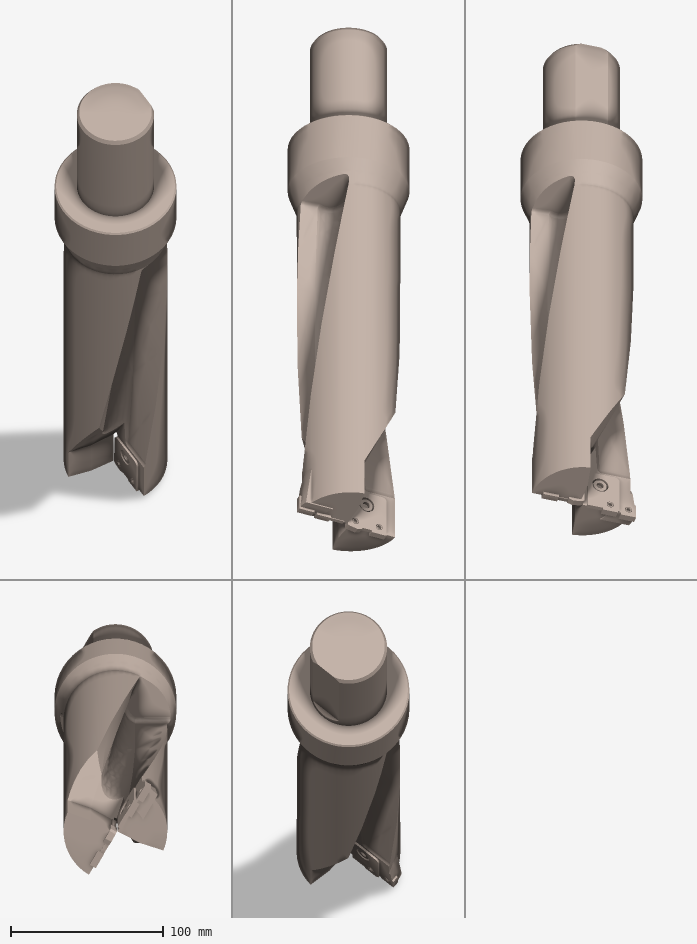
import cadquery as cq
import math

total_height = 381.99
shank_length = 80.0
shank_diameter = 50.79
shank_chamfer_depth = 1.6
shank_chamfer_height = 2.5
collar_diameter = 80.0
collar_chamfer = 1.0
collar_bottom_z = 267.5
neck_bottom_z = 250.5
body_radius = 34.05
collar_top_z = total_height - shank_length
shank_radius = shank_diameter / 2
collar_radius = collar_diameter / 2

flat_y = 22.8
flat_bottom_z = 308.5
flat_ramp = shank_radius - flat_y

end_face_z = 2.2
end_face_slope = 0.067

seat_face_y = 0.8
seat_wall_x = -1.2
seat_wall_outer_x = -4.0
seat_crease_y = -18.0
seat_top_z = 31.0
seat_ramp_angle = 25.0
cutter_reach = 50.0
ramp_height = 95.0
ramp_outer_x = -0.5

flute_twist_per_mm = 0.29
flute_bottom_z = 30.2
flute_twist_start_z = 37.0
flute_end_radius = 6.5
flute_roof_radius = 3.0
flute_roof_z = 249.5
flute_roof_slope = 0.23
flute_floor_edge = (13.0, 2.0)
flute_web_point = (6.0, -7.0)
flute_crease = (11.0, -19.5)
flute_lip_angle = -63.0

plate_proud = 1.4
plate_bottom_z = 1.9
plate_top_z = 30.6
plate_corner_radius = 3.5
plate_wall_gap = 1.0
inner_plate_x = (seat_wall_x + plate_wall_gap, 27.3)
outer_plate_x = (4.0, 26.0)
plate_face_y = seat_face_y - plate_proud

pad_depth = 11.5
pad_bottom_radius = 37.8
pad_inner_x = 20.0
pad_bevel_depth = 5.5
pad_bevel_end_z = 20.0

screw_x = 12.8
screw_z = 21.2
screw_recess_diameter = 11.0
screw_recess_depth = 4.0
screw_head_diameter = 9.0
screw_head_height = 3.5
screw_socket_diameter = 4.8
screw_socket_depth = 2.5

insert_thickness = 4.6
insert_top_z = 11.0
insert_bottom_z = 0.5
insert_hole_diameter = 4.8
insert_screw_diameter = 4.0
insert_socket_diameter = 3.0
insert_socket_depth = 2.0
insert_screw_z = 6.0


def turned(shape, angle):
    return shape.rotate((0, 0, 0), (0, 0, 1), angle)


def turned_pair(shape):
    """The shape and its copy turned half a turn about the drill axis."""
    return [turned(shape, angle) for angle in (0, 180)]


def facing_prism(outline, front_y, depth):
    """Prism of an XZ outline whose front face, towards -Y, lies at front_y."""
    return outline.extrude(-depth).translate((0, front_y, 0))


def facing_cylinder(diameter, x, z, front_y, depth):
    outline = cq.Workplane("XZ").center(x, z).circle(diameter / 2)
    return facing_prism(outline, front_y, depth)


def turned_blank():
    return (
        cq.Workplane("XZ")
        .moveTo(0, 0)
        .lineTo(body_radius, 0)
        .lineTo(body_radius, neck_bottom_z)
        .lineTo(collar_radius, collar_bottom_z)
        .lineTo(collar_radius, collar_top_z - collar_chamfer)
        .lineTo(collar_radius - collar_chamfer, collar_top_z)
        .lineTo(shank_radius, collar_top_z)
        .lineTo(shank_radius, total_height - shank_chamfer_height)
        .lineTo(shank_radius - shank_chamfer_depth, total_height)
        .lineTo(0, total_height)
        .close()
        .revolve(360, (0, 0, 0), (0, 1, 0))
    )


def shank_flat():
    return (
        cq.Workplane("YZ")
        .moveTo(flat_y, flat_bottom_z)
        .lineTo(flat_y + 2 * flat_ramp, flat_bottom_z - 2 * flat_ramp)
        .lineTo(flat_y + 2 * flat_ramp, total_height)
        .lineTo(flat_y, total_height)
        .close()
        .extrude(shank_radius, both=True)
    )


def end_face_cut():
    rise = end_face_slope * cutter_reach
    return (
        cq.Workplane("YZ")
        .moveTo(0, end_face_z)
        .lineTo(cutter_reach, end_face_z + rise)
        .lineTo(cutter_reach, -cutter_reach)
        .lineTo(-cutter_reach, -cutter_reach)
        .lineTo(-cutter_reach, end_face_z + rise)
        .close()
        .extrude(cutter_reach, both=True)
    )


def seat_outline(z, shift, outer_x):
    outer_y = -cutter_reach
    return (
        cq.Workplane("XY", origin=(shift, 0, z))
        .moveTo(seat_wall_x, seat_face_y)
        .lineTo(seat_wall_x, seat_crease_y)
        .lineTo(outer_x, -body_radius)
        .lineTo(outer_x, outer_y)
        .lineTo(cutter_reach, outer_y)
        .lineTo(cutter_reach, seat_face_y)
        .close()
    )


def seat_cut():
    """Quarter cut at the tip whose wall leans outward above the seat."""
    straight = seat_outline(0, 0, seat_wall_outer_x).extrude(seat_top_z)
    lean = ramp_height * math.tan(math.radians(seat_ramp_angle))
    lower_wire = seat_outline(seat_top_z, 0, seat_wall_outer_x).wire().val()
    upper_wire = seat_outline(seat_top_z + ramp_height, lean, ramp_outer_x).wire().val()
    ramp = cq.Solid.makeLoft([lower_wire, upper_wire], True)
    return straight.union(cq.Workplane(ramp))


def flute_section(z):
    lip = math.radians(flute_lip_angle)
    return (
        cq.Workplane("XY", origin=(0, 0, z))
        .moveTo(cutter_reach, flute_floor_edge[1])
        .lineTo(*flute_floor_edge)
        .threePointArc(flute_web_point, flute_crease)
        .lineTo(body_radius * math.cos(lip), body_radius * math.sin(lip))
        .lineTo(cutter_reach * math.cos(lip), cutter_reach * math.sin(lip))
        .lineTo(cutter_reach, -cutter_reach)
        .close()
    )


def flute_end_cut():
    """Straight lower end of a flute, with a rounded run-out."""
    end = flute_section(flute_bottom_z).extrude(flute_twist_start_z - flute_bottom_z)
    return end.faces("<Z").edges().fillet(flute_end_radius)


def flute_cut():
    """Twisted groove, closed at the top by a tilted roof."""
    length = neck_bottom_z + cutter_reach / 2 - flute_twist_start_z
    groove = flute_section(flute_twist_start_z).twistExtrude(length, flute_twist_per_mm * length)
    rise = flute_roof_slope * cutter_reach
    below_roof = (
        cq.Workplane("YZ")
        .moveTo(-cutter_reach, 0)
        .lineTo(cutter_reach, 0)
        .lineTo(cutter_reach, flute_roof_z + rise)
        .lineTo(-cutter_reach, flute_roof_z - rise)
        .close()
        .extrude(2 * cutter_reach, both=True)
    )
    groove = groove.intersect(below_roof)
    return groove.faces(">Z").edges().fillet(flute_roof_radius)


def cartridge_plate(x_range):
    left, right = x_range
    outline = (
        cq.Workplane("XZ")
        .center((left + right) / 2, (plate_bottom_z + plate_top_z) / 2)
        .rect(right - left, plate_top_z - plate_bottom_z)
    )
    plate = facing_prism(outline, plate_face_y, 2 * plate_proud)
    return plate.edges("|Y and >Z").fillet(plate_corner_radius)


def outer_pad():
    """Pad behind the outermost insert, widening towards the tip."""
    profile = (
        cq.Workplane("YZ")
        .moveTo(seat_face_y, end_face_z)
        .lineTo(seat_face_y, pad_bevel_end_z)
        .lineTo(pad_bevel_depth, plate_top_z)
        .lineTo(pad_depth, plate_top_z)
        .lineTo(pad_depth, end_face_z)
        .close()
        .extrude(cutter_reach)
    )
    taper = (
        cq.Workplane("XZ")
        .moveTo(pad_inner_x, end_face_z)
        .lineTo(pad_bottom_radius, end_face_z)
        .lineTo(body_radius, plate_top_z)
        .lineTo(pad_inner_x, plate_top_z)
        .close()
        .revolve(360, (0, 0, 0), (0, 1, 0))
    )
    return profile.intersect(taper)


def cartridge_screw_recess():
    """Cutter for the round screw recess that leaves the socketed screw head standing."""
    recess = facing_cylinder(screw_recess_diameter, screw_x, screw_z, plate_face_y, screw_recess_depth)
    head_y = plate_face_y + screw_recess_depth - screw_head_height
    head = facing_cylinder(screw_head_diameter, screw_x, screw_z, head_y, screw_head_height)
    socket = facing_cylinder(screw_socket_diameter, screw_x, screw_z, head_y, screw_socket_depth)
    return recess.cut(head).union(socket)


def square_outline(left, right):
    return [
        (left, insert_bottom_z),
        (right, insert_bottom_z),
        (right, insert_top_z),
        (left, insert_top_z),
    ]


def insert_block(outline, face_y):
    return facing_prism(cq.Workplane("XZ").polyline(outline).close(), face_y, insert_thickness)


def insert_screw(hole_x, face_y):
    """Screw standing in the insert hole, with a round socket."""
    screw = facing_cylinder(
        insert_screw_diameter, hole_x, insert_screw_z, face_y, insert_thickness
    )
    socket = facing_cylinder(
        insert_socket_diameter, hole_x, insert_screw_z, face_y, insert_socket_depth
    )
    return screw.cut(socket)


body = turned_blank().cut(shank_flat()).cut(end_face_cut())
for cutter in turned_pair(seat_cut()) + turned_pair(flute_end_cut()) + turned_pair(flute_cut()):
    body = body.cut(cutter)
body = body.union(turned(outer_pad(), 180))
body = body.union(cartridge_plate(inner_plate_x))
body = body.union(turned(cartridge_plate(outer_plate_x), 180))
for recess in turned_pair(cartridge_screw_recess()):
    body = body.cut(recess)

centre_outline = [
    (-0.8, 1.8),
    (0.8, 1.0),
    (6.4, 0.0),
    (9.8, 1.2),
    (9.8, insert_top_z),
    (-0.8, insert_top_z),
]
insert_places = [
    (centre_outline, 4.8, plate_face_y, 0),
    (square_outline(16.6, 27.3), 21.9, plate_face_y, 0),
    (square_outline(14.5, 24.8), 19.6, plate_face_y, 180),
    (square_outline(27.2, 37.8), 32.5, seat_face_y, 180),
]

inserts = []
for outline, hole_x, face_y, turn in insert_places:
    block = insert_block(outline, face_y)
    hole = facing_cylinder(insert_hole_diameter, hole_x, insert_screw_z, face_y, insert_thickness)
    screw = insert_screw(hole_x, face_y)
    body = body.cut(turned(block, turn)).union(turned(screw, turn))
    inserts.append(turned(block.cut(hole), turn))

result = cq.Compound.makeCompound([body.val(), *[insert.val() for insert in inserts]])